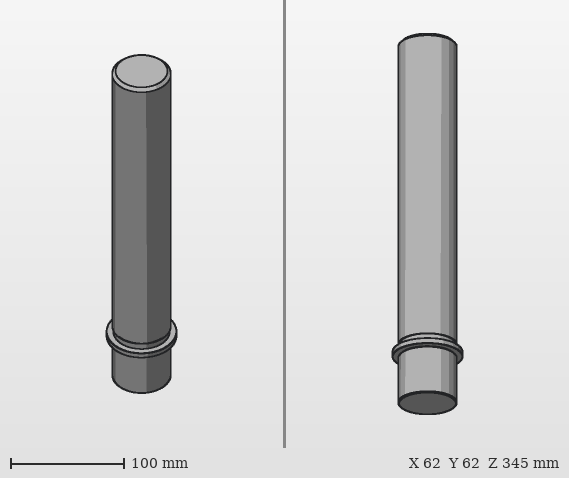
import cadquery as cq

total_length = 345.0
shaft_diameter = 52.0

shank_length = 45.0
shank_bottom_chamfer = 1.0
shank_top_chamfer = 1.5

flange_diameter = 62.0
flange_thickness = 5.2
flange_chamfer = 0.5

groove_width = 6.5
groove_depth = 1.0

top_chamfer = 3.0

groove_diameter = shaft_diameter - 2 * groove_depth
flange_top = shank_length + flange_thickness
shaft_bottom = flange_top + groove_width


def cylinder(diameter, bottom, top):
    """Upright cylinder on the Z axis between two heights."""
    return cq.Workplane("XY").workplane(offset=bottom).circle(diameter / 2).extrude(top - bottom)


shank = cylinder(shaft_diameter, 0, shank_length)
shank = shank.faces("<Z").chamfer(shank_bottom_chamfer)
shank = shank.faces(">Z").chamfer(shank_top_chamfer)

flange = cylinder(flange_diameter, shank_length, flange_top).edges("%CIRCLE").chamfer(flange_chamfer)
groove = cylinder(groove_diameter, flange_top, shaft_bottom)
shaft = cylinder(shaft_diameter, shaft_bottom, total_length).faces(">Z").chamfer(top_chamfer)

result = shank.union(flange).union(groove).union(shaft)